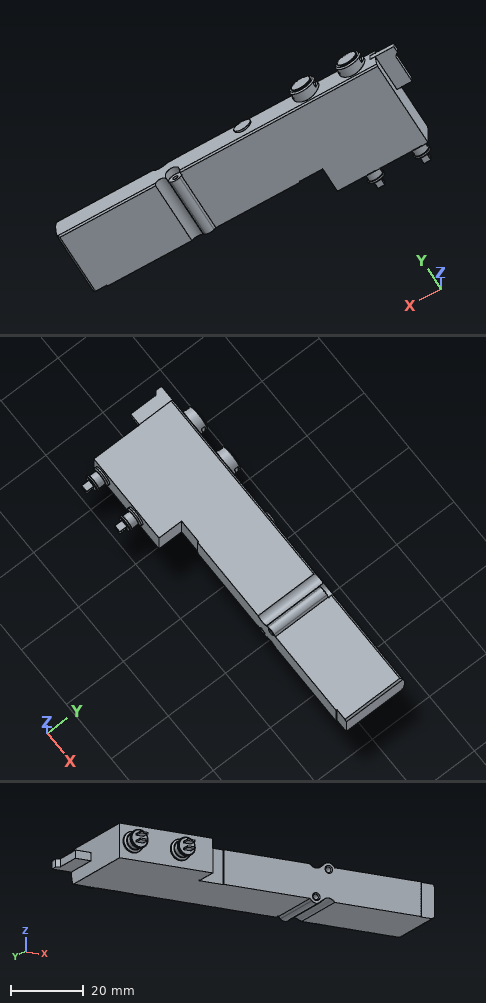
import cadquery as cq
import math


LENGTH = 108.5
BODY_START = 6.0
THICKNESS = 10.1
HALF_THICKNESS = THICKNESS / 2
BACK = 28.4
CROWN_RISE = 0.8
BACK_CHAMFER_Y = 0.5
BACK_CHAMFER_Z = 0.4
END_CHAMFER_X = 0.7
END_CHAMFER_Z = 0.5
BLOCK_END = 35.0
STEP_Y = 7.9
PAD_Y = 7.6
PAD_START = 42.5
PAD_END = 104.3

LEVER_THICKNESS = 2.4
LEVER_NECK_X = 1.1
LEVER_FRONT = 16.7
LEVER_SLOPE_START = 25.5
LEVER_SLOPE_END = 26.4

BARREL_X = 75.3
BARREL_SPACING = 3.9
BARREL_Z = 4.2
BARREL_DIAMETER = 3.9
SCREW_HOLE_DIAMETER = 1.6
SCREW_MOUTH_DIAMETER = 2.3
SCREW_MOUTH_DEPTH = 0.3
SCREW_SEAT_DIAMETER = 4.5
SCREW_SEAT_Y = 26.1
GROOVE_DIAMETER = 4.5
GROOVE_DEPTH = 1.0

STATION_COUNT = 2
STATION_PITCH = 14.8
KNOB_X = 13.3
KNOB_DIAMETER = 8.1
KNOB_TOP = 31.6
KNOB_CAP_DIAMETER = 6.1
KNOB_CAP_HEIGHT = 0.3
KNOB_CHAMFER = 0.4
KNOB_FLAT_X = 3.5
KNOB_NOTCH_LOW = 29.2
KNOB_NOTCH_HIGH = 30.4
CONTACT_X = 10.1
COLLAR_DIAMETER = 6.1
COLLAR_TIP_DIAMETER = 4.9
COLLAR_STRAIGHT = 0.5
COLLAR_LENGTH = 1.0
STEM_DIAMETER = 4.5
FLANGE_DIAMETER = 5.3
FLANGE_START = 3.4
FLANGE_END = 4.1
FLANGE_CHAMFER = 0.2
BLADE_WIDTH = 2.3
BLADE_THICKNESS = 0.4
BLADE_Z = 1.0
BLADE_TIP = 6.6
BUTTON_X = 48.5
BUTTON_DIAMETER = 5.3
BUTTON_RISE = 0.3

EMBED = 1.6


def box(x_range, y_range, z_range):
    """Box spanning three (low, high) ranges."""
    size = [high - low for low, high in (x_range, y_range, z_range)]
    return cq.Workplane("XY").box(*size, centered=False).translate((x_range[0], y_range[0], z_range[0]))


def cylinder_y(x, z, diameter, y_low, y_high):
    """Cylinder with its axis along Y."""
    base = cq.Vector(x, y_low, z)
    return cq.Workplane(obj=cq.Solid.makeCylinder(diameter / 2, y_high - y_low, base, cq.Vector(0, 1, 0)))


def prism_y(points, y_low, y_high):
    """Prism along Y over an outline of (x, z) points."""
    plane = cq.Plane(origin=(0, y_low, 0), xDir=(1, 0, 0), normal=(0, -1, 0))
    return cq.Workplane(plane).polyline(points).close().extrude(y_low - y_high)


def make_body():
    """Stepped plate with a crowned, chamfered back and chamfered far end."""
    outline = (
        cq.Workplane("XY")
        .moveTo(BODY_START, 0)
        .lineTo(BLOCK_END, 0)
        .lineTo(BLOCK_END, STEP_Y)
        .lineTo(PAD_START, STEP_Y)
        .lineTo(PAD_START, PAD_Y)
        .lineTo(PAD_END, PAD_Y)
        .lineTo(PAD_END, STEP_Y)
        .lineTo(LENGTH, STEP_Y)
        .lineTo(LENGTH, BACK)
        .lineTo(BODY_START, BACK)
        .close()
        .extrude(HALF_THICKNESS, both=True)
    )
    crown_edge_y = BACK - CROWN_RISE
    crown_edge_z = HALF_THICKNESS - BACK_CHAMFER_Z
    back_profile = (
        cq.Workplane("YZ")
        .moveTo(0, -HALF_THICKNESS)
        .lineTo(crown_edge_y - BACK_CHAMFER_Y, -HALF_THICKNESS)
        .lineTo(crown_edge_y, -crown_edge_z)
        .threePointArc((BACK, 0), (crown_edge_y, crown_edge_z))
        .lineTo(crown_edge_y - BACK_CHAMFER_Y, HALF_THICKNESS)
        .lineTo(0, HALF_THICKNESS)
        .close()
        .extrude(LENGTH)
    )
    chamfer_x = LENGTH - END_CHAMFER_X
    chamfer_z = HALF_THICKNESS - END_CHAMFER_Z
    end_profile = prism_y(
        [
            (0, -HALF_THICKNESS),
            (chamfer_x, -HALF_THICKNESS),
            (LENGTH, -chamfer_z),
            (LENGTH, chamfer_z),
            (chamfer_x, HALF_THICKNESS),
            (0, HALF_THICKNESS),
        ],
        0,
        BACK,
    )
    return outline.intersect(back_profile).intersect(end_profile)


def make_lever():
    """Flat tab on the left face with a sloped step at its free edge."""
    return (
        cq.Workplane("XY")
        .moveTo(0, BACK)
        .lineTo(0, LEVER_SLOPE_END)
        .lineTo(LEVER_NECK_X, LEVER_SLOPE_START)
        .lineTo(LEVER_NECK_X, LEVER_FRONT)
        .lineTo(BODY_START + EMBED, LEVER_FRONT)
        .lineTo(BODY_START + EMBED, BACK)
        .close()
        .extrude(LEVER_THICKNESS / 2, both=True)
    )


def add_upper_screw(body):
    """Groove, then barrel with 45-degree flanks, screw hole and seat, on the +Z face."""
    groove_x = BARREL_X - BARREL_SPACING
    groove_z = HALF_THICKNESS - GROOVE_DEPTH + GROOVE_DIAMETER / 2
    groove = cylinder_y(groove_x, groove_z, GROOVE_DIAMETER, 0, BACK)

    tangent = BARREL_DIAMETER / 2 / math.sqrt(2)
    flank_drop = BARREL_DIAMETER / 2
    flank_top_z = BARREL_Z + tangent
    flank_foot = tangent + flank_drop
    flanks = prism_y(
        [
            (BARREL_X - tangent, flank_top_z),
            (BARREL_X - flank_foot, flank_top_z - flank_drop),
            (BARREL_X + flank_foot, flank_top_z - flank_drop),
            (BARREL_X + tangent, flank_top_z),
        ],
        PAD_Y,
        SCREW_SEAT_Y,
    ).cut(groove)
    barrel = cylinder_y(BARREL_X, BARREL_Z, BARREL_DIAMETER, PAD_Y, SCREW_SEAT_Y)
    hole = cylinder_y(BARREL_X, BARREL_Z, SCREW_HOLE_DIAMETER, 0, BACK)
    seat = cylinder_y(BARREL_X, BARREL_Z, SCREW_SEAT_DIAMETER, SCREW_SEAT_Y, BACK)
    mouth = cq.Workplane(
        obj=cq.Solid.makeCone(
            SCREW_MOUTH_DIAMETER / 2,
            SCREW_HOLE_DIAMETER / 2,
            SCREW_MOUTH_DEPTH,
            cq.Vector(BARREL_X, PAD_Y, BARREL_Z),
            cq.Vector(0, 1, 0),
        )
    )
    return body.cut(groove).union(barrel).union(flanks).cut(hole).cut(mouth).cut(seat)


def add_screws(body):
    """The -Z screw is the +Z one turned half a revolution about an axis along Y."""
    middle_x = BARREL_X - BARREL_SPACING / 2
    axis_start = (middle_x, 0, 0)
    axis_end = (middle_x, 1, 0)
    body = add_upper_screw(body).rotate(axis_start, axis_end, 180)
    return add_upper_screw(body).rotate(axis_start, axis_end, 180)


def make_knob(x):
    """Round knob on the back with a raised cap, a chamfered rim and a flat notch on each side in X."""
    radius = KNOB_DIAMETER / 2
    shoulder = KNOB_TOP - KNOB_CAP_HEIGHT
    profile = [
        (0, BACK - EMBED),
        (radius, BACK - EMBED),
        (radius, shoulder - KNOB_CHAMFER),
        (radius - KNOB_CHAMFER, shoulder),
        (KNOB_CAP_DIAMETER / 2, shoulder),
        (KNOB_CAP_DIAMETER / 2, KNOB_TOP),
        (0, KNOB_TOP),
    ]
    knob = cq.Workplane("XY").polyline(profile).close().revolve(360, (0, 0), (0, 1))
    for x_range in ((-radius, -KNOB_FLAT_X), (KNOB_FLAT_X, radius)):
        knob = knob.cut(box(x_range, (KNOB_NOTCH_LOW, KNOB_NOTCH_HIGH), (-radius, radius)))
    return knob.translate((x, 0, 0))


def make_contact(x):
    """Collared stem with an end flange and two flat blades."""
    collar = COLLAR_DIAMETER / 2
    collar_tip = COLLAR_TIP_DIAMETER / 2
    stem = STEM_DIAMETER / 2
    flange = FLANGE_DIAMETER / 2
    profile = [
        (0, EMBED),
        (collar, EMBED),
        (collar, -COLLAR_STRAIGHT),
        (collar_tip, -COLLAR_LENGTH),
        (stem, -COLLAR_LENGTH),
        (stem, -FLANGE_START),
        (flange, -FLANGE_START),
        (flange, FLANGE_CHAMFER - FLANGE_END),
        (flange - FLANGE_CHAMFER, -FLANGE_END),
        (0, -FLANGE_END),
    ]
    contact = cq.Workplane("XY").polyline(profile).close().revolve(360, (0, 0), (0, 1))
    half_width = BLADE_WIDTH / 2
    for z in (-BLADE_Z, BLADE_Z):
        z_range = (z - BLADE_THICKNESS / 2, z + BLADE_THICKNESS / 2)
        contact = contact.union(box((-half_width, half_width), (-BLADE_TIP, -FLANGE_START), z_range))
    return contact.translate((x, 0, 0))


result = add_screws(make_body()).union(make_lever())
for station in range(STATION_COUNT):
    offset = station * STATION_PITCH
    result = result.union(make_knob(KNOB_X + offset))
    result = result.union(make_contact(CONTACT_X + offset))
result = result.union(cylinder_y(BUTTON_X, 0, BUTTON_DIAMETER, BACK - EMBED, BACK + BUTTON_RISE))